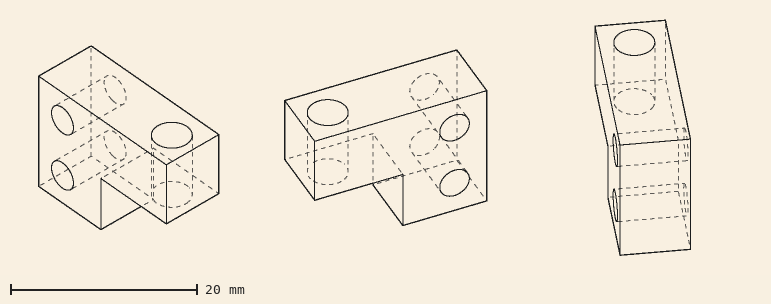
import cadquery as cq

length = 20.32
depth = 7.62
height = 15.25

leg_width = 9.92
arm_height = 8.17

leg_hole_diameter = 3.5
leg_hole_spacing = height / 2
leg_hole_x = depth / 2
leg_hole_heights = [(height - leg_hole_spacing) / 2, (height + leg_hole_spacing) / 2]

arm_hole_diameter = 4.39
arm_hole_x = 17.0
arm_hole_y = depth / 2


def make_body():
    """L-shaped block with its lower front left corner at the origin."""
    leg = cq.Workplane("XY").box(leg_width, depth, height, centered=False)
    arm = (
        cq.Workplane("XY")
        .workplane(offset=height - arm_height)
        .box(length, depth, arm_height, centered=False)
    )
    return leg.union(arm)


def make_leg_hole(z):
    """Cylinder along Y that passes through the full depth."""
    return (
        cq.Workplane("XZ")
        .center(leg_hole_x, z)
        .circle(leg_hole_diameter / 2)
        .extrude(-depth)
    )


def make_arm_hole():
    """Cylinder along Z that passes through the arm."""
    return (
        cq.Workplane("XY")
        .center(arm_hole_x, arm_hole_y)
        .circle(arm_hole_diameter / 2)
        .extrude(height)
    )


result = make_body().cut(make_arm_hole())
for hole_z in leg_hole_heights:
    result = result.cut(make_leg_hole(hole_z))